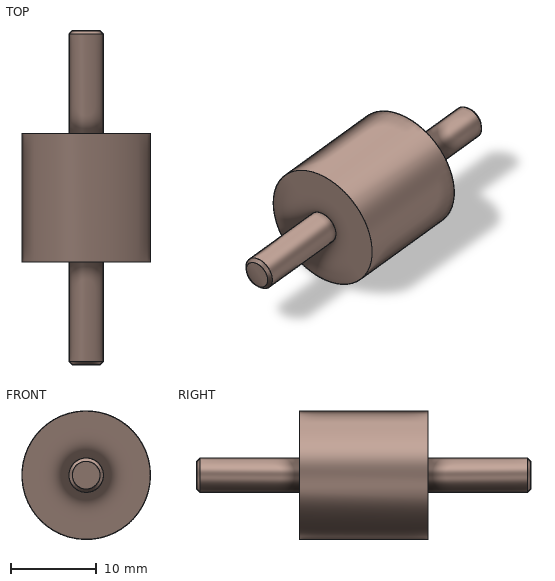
import cadquery as cq

total_length = 39.0
body_diameter = 15.0
body_length = 15.0
stud_diameter = 4.0
stud_chamfer = 0.4


def y_cylinder(diameter, length):
    """Cylinder along Y, centred on the origin."""
    start = cq.Workplane("XZ", origin=(0, length / 2, 0))
    return start.circle(diameter / 2).extrude(length)


body = y_cylinder(body_diameter, body_length)
studs = y_cylinder(stud_diameter, total_length).faces("<Y or >Y").chamfer(stud_chamfer)

result = body.union(studs)